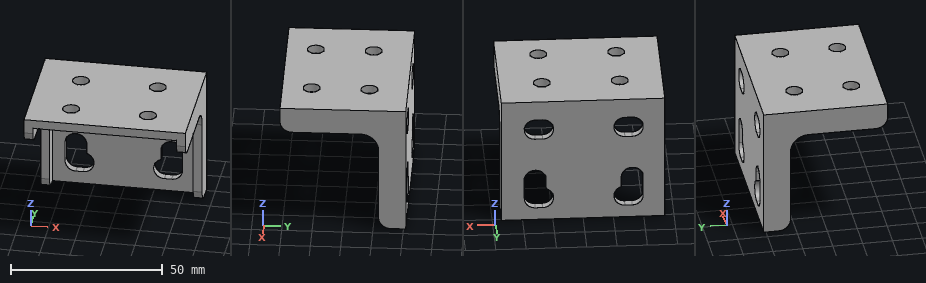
import cadquery as cq

WIDTH = 54.0
DEPTH = 41.5
HEIGHT = 44.5

PLATE_THICKNESS = 3.0
CHEEK_THICKNESS = PLATE_THICKNESS
CHEEK_LEG = 9.0
CHEEK_INNER_RADIUS = 6.0
CHEEK_TIP_RADIUS = 4.0
PLATE_INNER_RADIUS = CHEEK_INNER_RADIUS

HOLE_DIAMETER = 5.5
HOLE_SPACING_X = 25.7
HOLE_SPACING_Y = 19.05
HOLE_BACK_OFFSET = 12.75

SLOT_WIDTH = 7.2
SLOT_LENGTH = 9.6
LEFT_SLOT_X = -15.0
RIGHT_SLOT_X = 14.6
SLOT_DROP = 10.5
SLOT_SPACING_Z = 26.0
KEYHOLE_HEIGHT = 14.15


def angle_section(leg, inner_radius, tip_radius, start_x, length):
    """L-shaped section extruded along X, with a filleted corner and optional round tips."""
    body = (
        cq.Workplane("YZ", origin=(start_x, 0, 0))
        .polyline([(0, 0), (-DEPTH, 0), (-DEPTH, -leg), (-leg, -leg), (-leg, -HEIGHT), (0, -HEIGHT)])
        .close()
        .extrude(length)
    )
    middle_x = start_x + length / 2

    def edge_at(y, z):
        return cq.selectors.NearestToPointSelector((middle_x, y, z))

    body = body.edges("|X").edges(edge_at(-leg, -leg)).fillet(inner_radius)
    if tip_radius:
        body = body.edges("|X").edges(edge_at(-DEPTH, -leg)).fillet(tip_radius)
        body = body.edges("|X").edges(edge_at(-leg, -HEIGHT)).fillet(tip_radius)
    return body


def back_plate_slot(x, z, length, angle):
    """Cutter for a round-ended slot through the back plate, centred at (x, z)."""
    return (
        cq.Workplane("XZ")
        .center(x, z)
        .slot2D(length, SLOT_WIDTH, angle)
        .extrude(CHEEK_LEG)
    )


inner_width = WIDTH - 2 * CHEEK_THICKNESS
result = angle_section(PLATE_THICKNESS, PLATE_INNER_RADIUS, 0, -inner_width / 2, inner_width)
for cheek_start in (-WIDTH / 2, WIDTH / 2 - CHEEK_THICKNESS):
    result = result.union(
        angle_section(CHEEK_LEG, CHEEK_INNER_RADIUS, CHEEK_TIP_RADIUS, cheek_start, CHEEK_THICKNESS)
    )

hole_middle_y = -HOLE_BACK_OFFSET - HOLE_SPACING_Y / 2
holes = (
    cq.Workplane("XY")
    .center(0, hole_middle_y)
    .rarray(HOLE_SPACING_X, HOLE_SPACING_Y, 2, 2)
    .circle(HOLE_DIAMETER / 2)
    .extrude(-PLATE_THICKNESS)
)
result = result.cut(holes)

lower_slot_z = -SLOT_DROP - SLOT_SPACING_Z
arm_shift = (SLOT_LENGTH - SLOT_WIDTH) / 2
arm_z = lower_slot_z + (KEYHOLE_HEIGHT - SLOT_WIDTH) / 2
for slot_x, outward in ((LEFT_SLOT_X, -1), (RIGHT_SLOT_X, 1)):
    result = result.cut(back_plate_slot(slot_x, -SLOT_DROP, SLOT_LENGTH, 0))
    result = result.cut(back_plate_slot(slot_x, lower_slot_z, SLOT_LENGTH, 0))
    result = result.cut(back_plate_slot(slot_x + outward * arm_shift, arm_z, KEYHOLE_HEIGHT, 90))